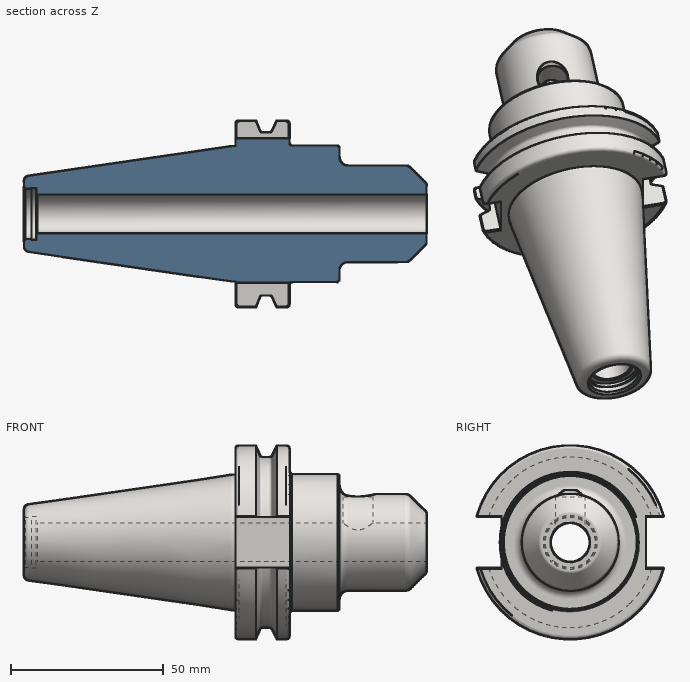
import cadquery as cq
tolerance = 0.01

overall_length = 131.8
gauge_x = 68.0
flange_start_x = 69.2
flange_end_x = 87.0
body_end_x = 103.3
body_radius = 22.4

gauge_radius = 44.4 / 2
taper_slope = 7 / 48
small_end_radius = gauge_radius - taper_slope * gauge_x
small_end_fillet = 2.0

flange_radius = 31.8
flange_fillet = 1.2
groove_floor_radius = 27.9
groove_top_start_x = 75.9
groove_floor_start_x = 77.5
groove_floor_end_x = 80.9
groove_top_end_x = 82.7
groove_fillet = 0.8

slot_width = 16.5
slot_chamfer = 0.4
slot_floor_front = 22.5
slot_floor_back = 24.8

body_fillet = 0.7
body_chamfer = 0.7
nose_radius = 31.8 / 2
neck_fillet = 2.6
nose_cone_start_x = 125.7
nose_cone_end_radius = 9.9
nose_end_fillet = 1.3
nose_shoulder_fillet = 2.4

bore_radius = 12.6 / 2
bore_mouth_radius = 13.5 / 2
pocket_radius = 16.3 / 2
pocket_chamfer = 0.7
pocket_depth = 4.1
relief_radius = 16.9 / 2
relief_start_x = 2.6

screw_x = 109.2
screw_radius = 9.7 / 2
screw_sink_radius = 11.9 / 2


def make_body():
    """Solid of revolution about X, without the small edge rounds."""
    profile = (
        cq.Workplane("XY")
        .lineTo(0, small_end_radius)
        .lineTo(gauge_x, gauge_radius)
        .lineTo(flange_start_x, gauge_radius)
        .lineTo(flange_start_x, flange_radius)
        .lineTo(groove_top_start_x, flange_radius)
        .lineTo(groove_floor_start_x, groove_floor_radius)
        .lineTo(groove_floor_end_x, groove_floor_radius)
        .lineTo(groove_top_end_x, flange_radius)
        .lineTo(flange_end_x, flange_radius)
        .lineTo(flange_end_x, body_radius)
        .lineTo(body_end_x, body_radius)
        .lineTo(body_end_x, nose_radius)
        .lineTo(nose_cone_start_x, nose_radius)
        .lineTo(overall_length, nose_cone_end_radius)
        .lineTo(overall_length, 0)
        .close()
    )
    return profile.revolve(360, (0, 0, 0), (1, 0, 0))


def circle_at(x, radius):
    """Filter that keeps the circular edge of the given radius at station x."""
    def matches(edge):
        if edge.geomType() != "CIRCLE":
            return False
        return abs(edge.Center().x - x) < tolerance and abs(edge.radius() - radius) < tolerance
    return matches


def round_edges(body):
    body = body.edges().filter(circle_at(0, small_end_radius)).fillet(small_end_fillet)
    body = body.edges().filter(circle_at(flange_start_x, flange_radius)).fillet(flange_fillet)
    body = body.edges().filter(circle_at(groove_floor_start_x, groove_floor_radius)).fillet(groove_fillet)
    body = body.edges().filter(circle_at(groove_floor_end_x, groove_floor_radius)).fillet(groove_fillet)
    body = body.edges().filter(circle_at(flange_end_x, flange_radius)).fillet(flange_fillet)
    body = body.edges().filter(circle_at(flange_end_x, body_radius)).fillet(body_fillet)
    body = body.edges().filter(circle_at(body_end_x, body_radius)).chamfer(body_chamfer)
    body = body.edges().filter(circle_at(body_end_x, nose_radius)).fillet(neck_fillet)
    body = body.edges().filter(circle_at(nose_cone_start_x, nose_radius)).fillet(nose_shoulder_fillet)
    body = body.edges().filter(circle_at(overall_length, nose_cone_end_radius)).fillet(nose_end_fillet)
    return body


def drive_slot(side, floor):
    """Block removed from the flange on one Y side (side is -1 or +1)."""
    slot_length = flange_end_x - flange_start_x
    slot_depth = flange_radius - floor
    return cq.Workplane("XY").box(slot_length, slot_depth, slot_width).translate(
        (flange_start_x + slot_length / 2, side * (floor + slot_depth / 2), 0)
    )


def axial_bore():
    """Through bore with a stepped, relieved pocket at the small end."""
    profile = (
        cq.Workplane("XY")
        .lineTo(0, pocket_radius + pocket_chamfer)
        .lineTo(pocket_chamfer, pocket_radius)
        .lineTo(relief_start_x, pocket_radius)
        .lineTo(relief_start_x, relief_radius)
        .lineTo(pocket_depth, relief_radius)
        .lineTo(pocket_depth, bore_mouth_radius)
        .lineTo(pocket_depth + bore_mouth_radius - bore_radius, bore_radius)
        .lineTo(overall_length, bore_radius)
        .lineTo(overall_length, 0)
        .close()
    )
    return profile.revolve(360, (0, 0, 0), (1, 0, 0))


def screw_hole():
    """Countersunk hole from the top of the nose down to the bore axis."""
    sink_depth = screw_sink_radius - screw_radius
    profile = (
        cq.Workplane("XZ")
        .lineTo(screw_radius, 0)
        .lineTo(screw_radius, nose_radius - sink_depth)
        .lineTo(screw_sink_radius, nose_radius)
        .lineTo(screw_sink_radius, nose_radius + 1.3)
        .lineTo(0, nose_radius + 1.3)
        .close()
    )
    return profile.revolve(360, (0, 0, 0), (0, 1, 0)).translate((screw_x, 0, 0))


def on_slot_rim(edge):
    """True for a slot wall edge on the flange end faces, corner rounds or rim."""
    box = edge.BoundingBox()
    on_wall = box.zlen < tolerance and abs(abs(box.zmax) - slot_width / 2) < tolerance
    outside_groove = box.xmax < groove_top_start_x + tolerance or box.xmin > groove_top_end_x - tolerance
    within_flange = box.xmin > flange_start_x - tolerance and box.xmax < flange_end_x + tolerance
    return on_wall and outside_groove and within_flange


flanged = round_edges(make_body())
slotted = flanged.cut(drive_slot(-1, slot_floor_front)).cut(drive_slot(1, slot_floor_back))
slotted = slotted.edges().filter(on_slot_rim).chamfer(slot_chamfer)
result = slotted.cut(axial_bore()).cut(screw_hole())